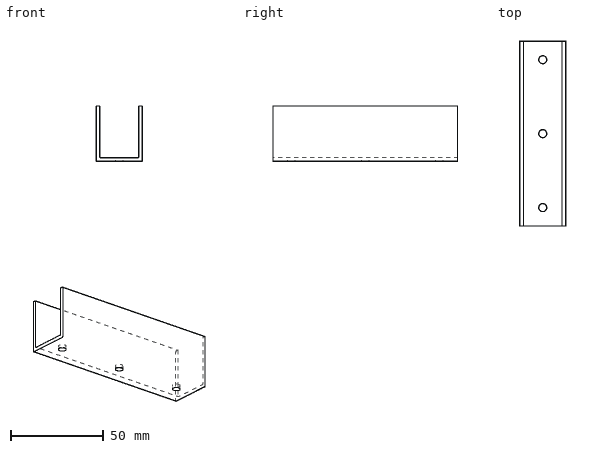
import cadquery as cq

length = 100.0
width = 25.0
height = 30.0
wall = 2.0

edge_radius = 0.5

hole_diameter = 4.2
hole_pitch = 40.0
hole_count = 3

inner_width = width - 2 * wall


def channel():
    """U-shaped extrusion along Y, open at the top."""
    block = cq.Workplane("XY").box(width, length, height, centered=(True, True, False))
    block = block.edges("|Y and <Z").fillet(edge_radius)
    cavity = (
        cq.Workplane("XY", origin=(0, 0, wall))
        .box(inner_width, length, height, centered=(True, True, False))
        .edges("|Y and <Z")
        .fillet(edge_radius)
    )
    return block.cut(cavity).faces(">Z").edges("|Y").fillet(edge_radius)


def floor_holes():
    """Row of through holes on the centreline of the floor."""
    return (
        cq.Workplane("XY")
        .rarray(1, hole_pitch, 1, hole_count)
        .circle(hole_diameter / 2)
        .extrude(wall)
    )


result = channel().cut(floor_holes())